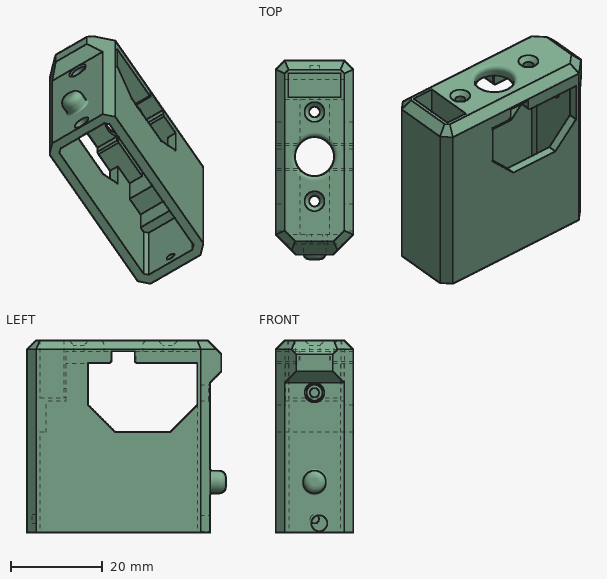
import cadquery as cq
import math

width = 17.0
length = 40.0
height = 42.0
wall = 2.05
bevel = 2.0
margin = 4.35

lip_reach = 2.5
lip_root_z = 32.75
lip_bevel = 3.0

ceiling_z = 39.65
rail_bottom_z = 37.0
channel_width = 6.5

button_y = 19.0
button_diameter = 8.5
button_round = 1.05
slot_width = 5.0
slot_bevel = 0.45
screw_spacing = 19.5
screw_diameter = 2.25
screw_head_diameter = 4.35

window_front_y = 2.83
window_rear_y = 26.65
window_bottom_z = 22.0
window_corner = 5.9

pocket_width = 11.5
pocket_rear_y = 37.25
pocket_length = 5.2
pocket_floor_z = 29.5
block_front_y = 31.5
block_bottom_z = 28.85
pad_front_y = 35.95

pin_diameter = 5.0
pin_length = 3.5
pin_tip_diameter = 2.0
pin_z = 11.05
pin_root_round = 0.45
access_diameter = 3.5
access_mouth_bevel = 0.4
upper_hole_z = 30.6
lower_hole_x = 1.05
lower_hole_z = 2.05

pilot_diameter = 2.0
pilot_depth = 1.0
lower_pilot_z = 3.0


def beveled_plan(x_half, front_y, rear_y, front_bevel, rear_bevel):
    """Rectangle in plan with 45 degree corners."""
    return cq.Workplane("XY").polyline([
        (x_half - front_bevel, front_y),
        (x_half, front_y + front_bevel),
        (x_half, rear_y - rear_bevel),
        (x_half - rear_bevel, rear_y),
        (rear_bevel - x_half, rear_y),
        (-x_half, rear_y - rear_bevel),
        (-x_half, front_y + front_bevel),
        (front_bevel - x_half, front_y),
    ]).close()


def box_between(x_size, y_start, y_end, z_start, z_end):
    """Box centred in X between the given Y and Z limits."""
    return (
        cq.Workplane("XY", origin=(0, (y_start + y_end) / 2, z_start))
        .rect(x_size, y_end - y_start)
        .extrude(z_end - z_start)
    )


def across_x(profile):
    """Sketch in the YZ plane extruded through the whole width."""
    return profile.extrude(width / 2 + margin, both=True)


def y_cylinder(diameter, x, z, y_start, y_end):
    """Cylinder along Y."""
    return (
        cq.Workplane("XZ", origin=(x, y_start, z))
        .circle(diameter / 2)
        .extrude(y_start - y_end)
    )


def countersunk_cutter(diameter, bevel_size, depth):
    """Round cutter going down from Z = 0 with a 45 degree beveled mouth."""
    hole = cq.Workplane("XY").circle(diameter / 2).extrude(-depth)
    mouth = cq.Solid.makeCone(
        diameter / 2, diameter / 2 + bevel_size, bevel_size, pnt=cq.Vector(0, 0, -bevel_size)
    )
    return hole.union(cq.Workplane(obj=mouth))


def outer_body():
    """Beveled block whose top reaches forward as the lip."""
    plan = beveled_plan(width / 2, -lip_reach, length, bevel + lip_reach, bevel)
    block = plan.extrude(height).faces(">Z").chamfer(bevel)
    side_profile = cq.Workplane("YZ").polyline([
        (0, 0),
        (length, 0),
        (length, height),
        (lip_bevel - lip_reach, height),
        (-lip_reach, height - lip_bevel),
        (-lip_reach, lip_root_z + lip_reach),
        (0, lip_root_z),
    ]).close()
    return block.intersect(across_x(side_profile))


def cavity():
    """Open-bottomed interior with even walls, less the rear block and pad."""
    inner_bevel = bevel - wall * (2 - math.sqrt(2))
    plan = beveled_plan(width / 2 - wall, wall, length - wall, inner_bevel, inner_bevel)
    room = plan.extrude(rail_bottom_z)
    block = box_between(width, block_front_y, length, block_bottom_z, height)
    pad = box_between(width, pad_front_y, length, window_bottom_z, height)
    return room.cut(block).cut(pad)


def roof_channel():
    """Channel between the rails, crossed by the slot below the button hole."""
    depth = ceiling_z - rail_bottom_z
    channel = box_between(channel_width, wall, block_front_y, rail_bottom_z, ceiling_z)
    slot = (
        cq.Workplane("XY", origin=(0, button_y, rail_bottom_z))
        .rect(width + 2 * margin, slot_width)
        .extrude(depth)
    )
    return channel.union(slot)


def window():
    """Window with beveled lower corners and beveled edges where the slot enters it."""
    slot_front_y = button_y - slot_width / 2
    slot_rear_y = button_y + slot_width / 2
    profile = (
        cq.Workplane("YZ")
        .moveTo(window_front_y + window_corner, window_bottom_z)
        .lineTo(window_rear_y - window_corner, window_bottom_z)
        .lineTo(window_rear_y, window_bottom_z + window_corner)
        .lineTo(window_rear_y, rail_bottom_z)
        .lineTo(slot_rear_y + slot_bevel, rail_bottom_z)
        .lineTo(slot_rear_y, rail_bottom_z + slot_bevel)
        .lineTo(slot_front_y, rail_bottom_z + slot_bevel)
        .lineTo(slot_front_y - slot_bevel, rail_bottom_z)
        .lineTo(window_front_y, rail_bottom_z)
        .lineTo(window_front_y, window_bottom_z + window_corner)
        .close()
    )
    return across_x(profile)


def pin():
    """Locating pin with a rounded tip and a filleted root in the front wall."""
    radius = pin_diameter / 2
    tip_radius = pin_tip_diameter / 2
    tip_round = radius - tip_radius
    tip_mid = tip_round * math.sqrt(0.5)
    root_mid = pin_root_round * (1 - math.sqrt(0.5))
    embed = wall / 2
    return (
        cq.Workplane("XY")
        .moveTo(0, embed)
        .lineTo(radius + pin_root_round, embed)
        .lineTo(radius + pin_root_round, 0)
        .threePointArc((radius + root_mid, -root_mid), (radius, -pin_root_round))
        .lineTo(radius, tip_round - pin_length)
        .threePointArc(
            (tip_radius + tip_mid, tip_round - pin_length - tip_mid),
            (tip_radius, -pin_length),
        )
        .lineTo(0, -pin_length)
        .close()
        .revolve(360, (0, 0, 0), (0, 1, 0))
        .translate((0, 0, pin_z))
    )


result = outer_body().cut(cavity()).cut(roof_channel()).cut(window())

result = result.cut(
    box_between(pocket_width, pocket_rear_y - pocket_length, pocket_rear_y, pocket_floor_z, height)
)

button_hole = (
    cq.Workplane("XY", origin=(0, button_y, rail_bottom_z))
    .circle(button_diameter / 2)
    .extrude(height - rail_bottom_z)
)
button_mouth = cq.selectors.NearestToPointSelector((0, button_y + button_diameter / 2, height))
result = result.cut(button_hole)
result = result.faces(">Z").edges("%CIRCLE").edges(button_mouth).fillet(button_round)

screw_hole = countersunk_cutter(
    screw_diameter, (screw_head_diameter - screw_diameter) / 2, height - ceiling_z
)
for screw_y in (button_y - screw_spacing / 2, button_y + screw_spacing / 2):
    result = result.cut(screw_hole.translate((0, screw_y, height)))

upper_hole = countersunk_cutter(access_diameter, access_mouth_bevel, wall)
result = result.cut(upper_hole.rotate((0, 0, 0), (1, 0, 0), 90).translate((0, 0, upper_hole_z)))
result = result.cut(y_cylinder(access_diameter, lower_hole_x, lower_hole_z, 0, wall))

rear_inside_y = length - wall
result = result.cut(
    y_cylinder(pilot_diameter, 0, upper_hole_z, block_front_y, pocket_rear_y - pocket_length)
)
result = result.cut(
    y_cylinder(pilot_diameter, 0, lower_pilot_z, rear_inside_y, rear_inside_y + pilot_depth)
)

result = result.union(pin())